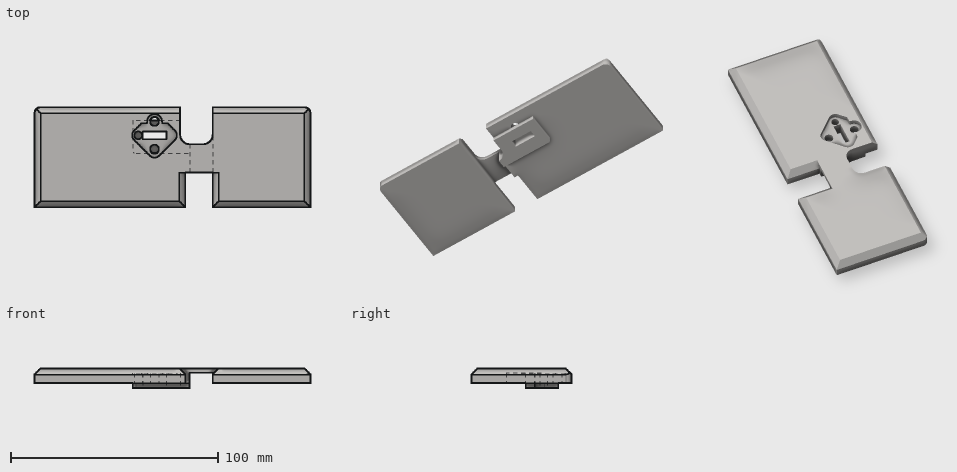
import cadquery as cq
import math

length = 133.2
depth = 48.3
total_height = 9.5
pad_height = 2.4
plate_height = total_height - pad_height
edge_chamfer = 2.9
back_corner_radius = edge_chamfer

slot_left = 70.3
gap_right = 85.9
neck_front = 16.8
neck_back = 30.5
neck_thickness = 2.1
slot_radius = 4.5
notch_left = 72.9
neck_root = slot_left + slot_radius

pad_left = 47.4
pad_front = 26.1
pad_back = 42.0
pad_corner_radius = 1.3

recess_x = 58.0
recess_y = 34.8
recess_depth = 2.5
diamond_reach = 12.1
diamond_radius = 3.2
diamond_back = 5.7
ear_radius = 3.6
ear_offset = 6.7
ear_root_radius = 0.7

window_length = 11.3
window_width = 3.6
large_hole_diameter = 4.3
small_hole_diameter = 3.7
side_hole_offset = 7.9


def block(x_min, x_max, y_min, y_max, z_min, z_max):
    """Box given by its limits along each axis."""
    size = (x_max - x_min, y_max - y_min, z_max - z_min)
    return cq.Workplane("XY").box(*size, centered=False).translate((x_min, y_min, z_min))


def make_plate():
    """Plate with mitred top chamfers, back corners rounded through them, and its front notch."""
    plate = block(0, length, 0, depth, 0, plate_height)
    plate = plate.faces(">Z").edges().chamfer(edge_chamfer)
    outline = block(0, length, 0, depth, 0, plate_height)
    outline = outline.edges("|Z and >Y").fillet(back_corner_radius)
    return plate.intersect(outline).cut(make_notch())


def make_notch():
    """Front gap whose two sides flare outwards along the top edge."""
    flare_bottom = plate_height - edge_chamfer
    profile = [
        (notch_left, 0),
        (notch_left, flare_bottom),
        (notch_left - edge_chamfer, plate_height),
        (gap_right + edge_chamfer, plate_height),
        (gap_right, flare_bottom),
        (gap_right, 0),
    ]
    return cq.Workplane("XZ").polyline(profile).close().extrude(-neck_front)


def make_pad():
    """Pad on the underside with one rounded corner."""
    pad = block(pad_left, neck_root, pad_front, pad_back, -pad_height, 0)
    return pad.edges("|Z and <X and <Y").fillet(pad_corner_radius)


def make_slot():
    """Back gap with rounded inner corners, cutting plate and pad."""
    slot = block(slot_left, gap_right, neck_back, depth, -pad_height, plate_height)
    return slot.edges("|Z and <Y").fillet(slot_radius)


def make_neck_relief():
    """Clearance that thins the neck from below."""
    return block(neck_root, gap_right, neck_front, depth, -pad_height, plate_height - neck_thickness)


def make_recess():
    """Rounded diamond with a flat back and an ear, centred on the recess."""
    side = diamond_reach * math.sqrt(2)
    diamond = cq.Workplane("XY").rect(side, side).extrude(recess_depth)
    diamond = diamond.edges("|Z").fillet(diamond_radius).rotate((0, 0, 0), (0, 0, 1), 45)
    diamond = diamond.intersect(
        block(-diamond_reach, diamond_reach, -diamond_reach, diamond_back, 0, recess_depth)
    )
    ear = cq.Workplane("XY").center(0, ear_offset).circle(ear_radius).extrude(recess_depth)
    ear = ear.union(block(-ear_radius, ear_radius, 0, ear_offset, 0, recess_depth))
    recess = diamond.union(ear)
    margin = ear_root_radius / 2
    ear_roots = cq.selectors.BoxSelector(
        (-ear_radius - margin, diamond_back - margin, 0),
        (ear_radius + margin, diamond_back + margin, recess_depth),
    )
    recess = recess.edges("|Z").edges(ear_roots).fillet(ear_root_radius)
    return recess.translate((recess_x, recess_y, plate_height - recess_depth))


def make_hole(x_offset, y_offset, diameter):
    """Hole through the plate, ending on the pad where the pad lies below."""
    hole = cq.Workplane("XY").circle(diameter / 2).extrude(plate_height - recess_depth)
    return hole.translate((recess_x + x_offset, recess_y + y_offset, 0))


def make_window():
    """Rectangular opening through plate and pad."""
    window = cq.Workplane("XY").rect(window_length, window_width).extrude(total_height)
    return window.translate((recess_x, recess_y, -pad_height))


result = make_plate().cut(make_recess())

for x_offset, y_offset, diameter in (
    (0, ear_offset, large_hole_diameter),
    (0, -ear_offset, large_hole_diameter),
    (-side_hole_offset, 0, small_hole_diameter),
):
    result = result.cut(make_hole(x_offset, y_offset, diameter))

result = result.union(make_pad()).cut(make_window())
result = result.cut(make_slot()).cut(make_neck_relief())